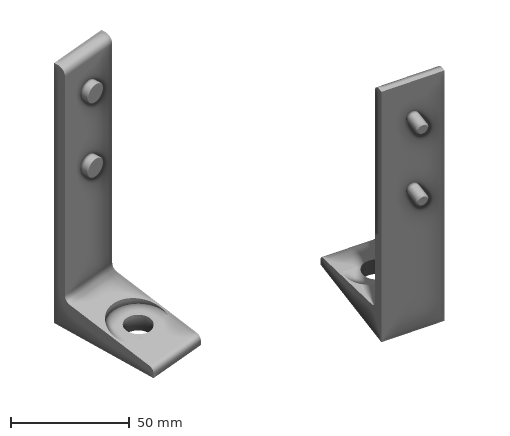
import cadquery as cq

height = 140.0
width = 30.0
foot_length = 56.0
wall_thickness = 6.0
foot_root_height = 15.0
foot_tip_height = 5.0
wall_top_radius = 4.0
inner_corner_radius = 3.5
foot_tip_radius = 3.0

anchor_x = 34.0
anchor_hole_diameter = 13.0
seat_diameter = 28.0
seat_height = 8.4

screw_diameter = 6.0
screw_hole_diameter = 6.5
screw_protrusion = 9.0
tip_chamfer = 0.7
head_diameter = 10.0
head_height = 3.9
head_edge_radius = 0.4
top_screw_drop = 20.0
screw_spacing = 40.0
top_screw_z = height - top_screw_drop
screw_heights = [top_screw_z, top_screw_z - screw_spacing]


def rod_along_x(start_x, length, diameter, z):
    """Cylinder running toward +X at the given height."""
    plane = cq.Plane(origin=(start_x, 0, z), xDir=(0, 1, 0), normal=(1, 0, 0))
    return cq.Workplane(plane).circle(diameter / 2).extrude(length)


def rod_along_z(start_z, length, diameter, x):
    """Cylinder running toward +Z at the given X position."""
    return cq.Workplane("XY", origin=(x, 0, start_z)).circle(diameter / 2).extrude(length)


def round_profile_corner(body, x, z, radius):
    """Round the edge parallel to Y that passes through (x, z)."""
    edge = cq.selectors.NearestToPointSelector((x, 0, z))
    return body.edges("|Y").edges(edge).fillet(radius)


def make_bracket():
    bracket = (
        cq.Workplane("XZ")
        .moveTo(0, 0)
        .lineTo(foot_length, 0)
        .lineTo(foot_length, foot_tip_height)
        .lineTo(wall_thickness, foot_root_height)
        .lineTo(wall_thickness, height)
        .lineTo(0, height)
        .close()
        .extrude(width / 2, both=True)
    )
    bracket = round_profile_corner(bracket, wall_thickness, height, wall_top_radius)
    bracket = round_profile_corner(bracket, wall_thickness, foot_root_height, inner_corner_radius)
    bracket = round_profile_corner(bracket, foot_length, foot_tip_height, foot_tip_radius)

    bracket = bracket.cut(rod_along_z(seat_height, foot_root_height, seat_diameter, anchor_x))
    bracket = bracket.cut(rod_along_z(0, foot_root_height, anchor_hole_diameter, anchor_x))

    for z in screw_heights:
        bracket = bracket.cut(rod_along_x(0, wall_thickness, screw_hole_diameter, z))
    return bracket


def make_screw(z):
    """Screw whose head bears on the front face of the wall."""
    shank_length = screw_protrusion + wall_thickness
    shank = rod_along_x(-screw_protrusion, shank_length, screw_diameter, z)
    shank = shank.faces("<X").chamfer(tip_chamfer)
    head = rod_along_x(wall_thickness, head_height, head_diameter, z)
    head = head.faces(">X").edges().fillet(head_edge_radius)
    return shank.union(head)


bracket = make_bracket()
screws = [make_screw(z) for z in screw_heights]

result = cq.Compound.makeCompound([bracket.val(), *[screw.val() for screw in screws]])